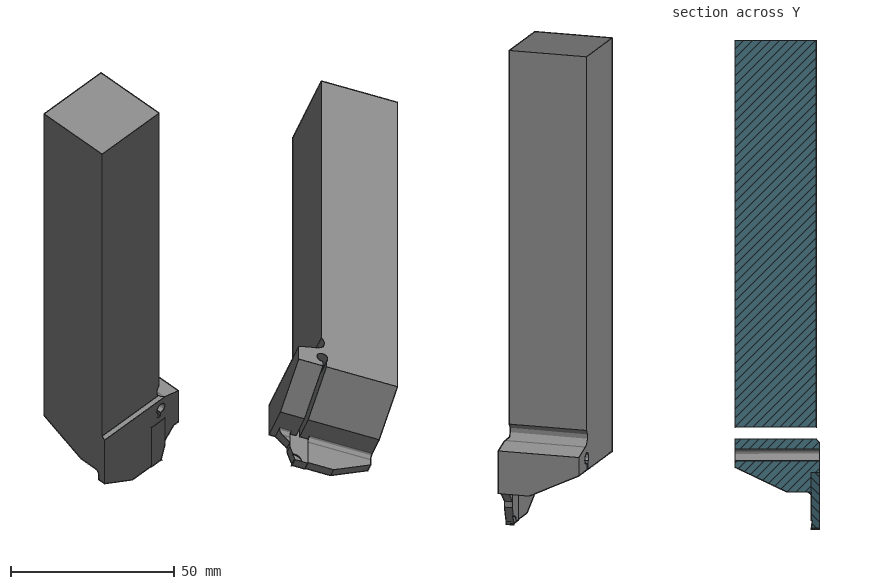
import cadquery as cq
import math


total_length = 150.0
shank_size = 25.0
head_width = 26.04
head_height = 32.4
head_ledge_z = 11.5
shoulder_z = 27.7
shoulder_step = head_width - shank_size
bevel_width = 16.0
bevel_angle = 25.5

relief_radius = 2.9
relief_center_y = 26.9
relief_center_z = 29.6
jaw_slope = 16.0

blade_thickness = 2.6
blade_fillet = 1.4
blade_bottom_z = 0.7
blade_toe_y = 12.2
heel_angle = 30.0
jaw_nose_y = 30.3

slot_hole_radius = 1.75
slot_hole_y = 24.65
slot_hole_z = 22.9
slot_low_y = 23.3
slot_high_y = 24.5
slot_through_z = 19.7

insert_low_y = 20.6
insert_high_y = 26.5
insert_top_z = 17.4
insert_bottom_z = 0.4
rake_start_z = 5.8
rake_end_y = 24.9
rake_end_z = 0.9
tip_y = 25.1
tip_length = 0.3
chip_radius = 2.4
chip_center_z = 0.45
chip_tilt = 7.0

blade_x = head_width - blade_thickness
insert_width = insert_high_y - insert_low_y


def side_profile():
    """Solid with the holder's YZ outline, as wide as the head."""
    slope = math.radians(jaw_slope)
    relief_top_y = shank_size
    relief_top_z = relief_center_z + math.sqrt(relief_radius**2 - (relief_center_y - relief_top_y)**2)
    relief_end_y = relief_center_y - relief_radius * math.sin(slope)
    relief_end_z = relief_center_z - relief_radius * math.cos(slope)
    jaw_back_z = relief_end_z - (head_height - relief_end_y) * math.tan(slope)
    heel_z = blade_bottom_z + blade_toe_y * math.tan(math.radians(heel_angle))
    nose_end_z = head_ledge_z - (jaw_nose_y - insert_high_y)
    return (
        cq.Workplane("YZ")
        .moveTo(0, total_length)
        .lineTo(relief_top_y, total_length)
        .lineTo(relief_top_y, relief_top_z)
        .threePointArc((relief_center_y - relief_radius, relief_center_z), (relief_end_y, relief_end_z))
        .lineTo(head_height, jaw_back_z)
        .lineTo(head_height, head_ledge_z)
        .lineTo(jaw_nose_y, head_ledge_z)
        .lineTo(insert_high_y, nose_end_z)
        .lineTo(insert_high_y, blade_bottom_z)
        .lineTo(blade_toe_y, blade_bottom_z)
        .lineTo(0, heel_z)
        .close()
        .extrude(head_width)
    )


def front_profile():
    """Solid with the holder's XZ outline, as tall as the head."""
    bevel_top_z = head_ledge_z + bevel_width * math.tan(math.radians(bevel_angle))
    return (
        cq.Workplane("XZ")
        .moveTo(0, total_length)
        .lineTo(0, bevel_top_z)
        .lineTo(bevel_width, head_ledge_z)
        .lineTo(blade_x - blade_fillet, head_ledge_z)
        .radiusArc((blade_x, head_ledge_z - blade_fillet), blade_fillet)
        .lineTo(blade_x, 0)
        .lineTo(head_width, 0)
        .lineTo(head_width, shoulder_z - shoulder_step)
        .lineTo(shank_size, shoulder_z)
        .lineTo(shank_size, total_length)
        .close()
        .extrude(-head_height)
    )


def slot_block(depth, bottom_z, top_z):
    """Stretch of the slot, cut from the free side to the given depth along X."""
    block = cq.Workplane("XY").box(depth, slot_high_y - slot_low_y, top_z - bottom_z, centered=False)
    return block.translate((0, slot_low_y, bottom_z))


def clamping_slot():
    """Narrow slot that frees the upper jaw, ending in a round hole."""
    hole = (
        cq.Workplane("YZ")
        .center(slot_hole_y, slot_hole_z)
        .circle(slot_hole_radius)
        .extrude(head_width)
    )
    upper_slot = slot_block(head_width, slot_through_z, slot_hole_z)
    lower_slot = slot_block(blade_x, head_ledge_z, slot_through_z)
    return hole.union(upper_slot).union(lower_slot)


def insert_seat():
    """Rectangular seat in the blade, open at the bottom."""
    seat = cq.Workplane("XY").box(blade_thickness, insert_width, insert_top_z, centered=False)
    return seat.translate((blade_x, insert_low_y, 0))


def fillet_clearance():
    """Gap in the blade fillet beside the insert."""
    clearance = cq.Workplane("XY").box(blade_fillet, insert_width, head_ledge_z, centered=False)
    return clearance.translate((blade_x - blade_fillet, insert_low_y, 0))


def chip_recess():
    """Shallow round recess at the tip, with a floor that deepens away from the tip."""
    recess = (
        cq.Workplane("YZ")
        .circle(chip_radius)
        .extrude(-blade_thickness)
        .rotate((0, 0, 0), (0, 1, 0), chip_tilt)
    )
    return recess.translate((blade_x, tip_y, chip_center_z))


def make_holder():
    holder = side_profile().intersect(front_profile())
    return holder.cut(clamping_slot()).cut(insert_seat()).cut(fillet_clearance())


def make_insert():
    blank = (
        cq.Workplane("YZ", origin=(blade_x, 0, 0))
        .moveTo(insert_low_y, insert_top_z)
        .lineTo(insert_high_y, insert_top_z)
        .lineTo(insert_high_y, rake_start_z)
        .lineTo(rake_end_y, rake_end_z)
        .lineTo(tip_y, 0)
        .lineTo(tip_y - tip_length, insert_bottom_z)
        .lineTo(insert_low_y, insert_bottom_z)
        .close()
        .extrude(blade_thickness)
    )
    return blank.cut(chip_recess())


holder = make_holder()
insert = make_insert()

result = cq.Compound.makeCompound([holder.val(), insert.val()])